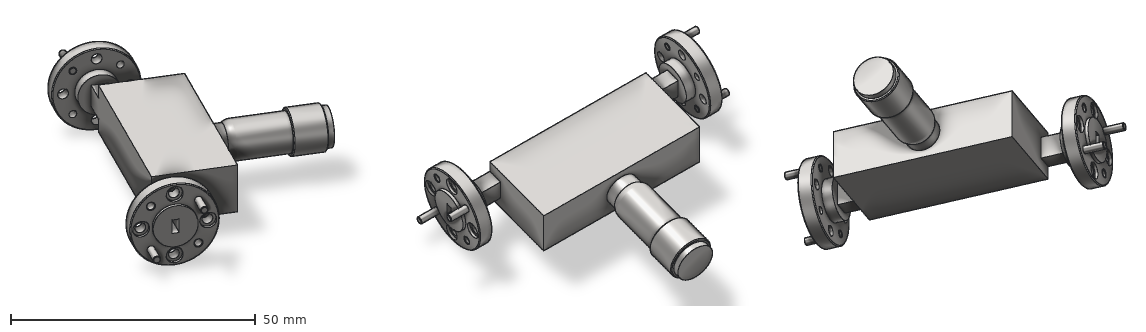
import cadquery as cq
import math


overall_depth = 50.95

block_length = 39.9
block_height = 11.0
block_back_y = 16.45

guide_width = 3.6
guide_height = 5.0
aperture_width = 1.5
aperture_height = 3.1

flange_diameter = 19.0
flange_chamfer = 0.2
flange_inner_x = 27.8
flange_outer_x = 31.1
hub_diameter = 9.25
hub_inner_x = 25.45
boss_diameter = 9.55
boss_outer_x = 31.8

hole_circle_radius = 7.1
screw_hole_diameter = 2.3
counterbore_diameter = 3.55
counterbore_depth = 0.65
pin_diameter = 1.65
pin_hole_chamfer = 0.15
screw_hole_count = 4
screw_spacing_angle = 360 / screw_hole_count

first_dowel_pair = (45, 225)
second_dowel_pair = (135, 315)

pin_tip_x = 35.6
pin_chamfer = 0.15

neck_diameter = 7.6
barrel_diameter = 8.9
neck_end_y = 19.1
shoulder_end_y = 20.8
collar_diameter = 10.2
collar_start_y = 32.6
collar_end_y = 40.05
collar_chamfer = 0.2
micrometer_end_y = overall_depth - flange_diameter / 2


def x_cylinder(diameter, start_x, end_x, y=0, z=0):
    """Cylinder parallel to X, running from start_x to end_x."""
    plane = cq.Workplane("YZ", origin=(start_x, y, z))
    return plane.circle(diameter / 2).extrude(end_x - start_x)


def place_on_circle(angle):
    """Y and Z on the hole circle, with the angle measured from +Y toward +Z."""
    turn = math.radians(angle)
    return hole_circle_radius * math.cos(turn), hole_circle_radius * math.sin(turn)


def make_block():
    """Block whose front face is flush with the front of the waveguide."""
    block_front_y = -guide_width / 2
    depth = block_back_y - block_front_y
    return cq.Workplane("XY").box(block_length, depth, block_height).translate(
        (0, block_front_y + depth / 2, 0)
    )


def make_guide():
    """Rectangular waveguide passing through the block from hub to hub."""
    return cq.Workplane("XY").box(2 * hub_inner_x, guide_width, guide_height)


def make_open_dowel_hole(angle):
    """Cutter for an empty dowel hole through the flange, chamfered at the outer face."""
    y, z = place_on_circle(angle)
    hole = x_cylinder(pin_diameter, flange_inner_x, flange_outer_x, y, z)
    lead_in = (
        cq.Workplane("YZ", origin=(flange_outer_x, y, z))
        .circle(pin_diameter / 2 + pin_hole_chamfer)
        .extrude(-pin_hole_chamfer, taper=45)
    )
    return hole.union(lead_in)


def make_flange(pin_angles, open_hole_angles):
    """Flange on the +X side, with its hub, raised boss, holes and aperture."""
    disc = x_cylinder(flange_diameter, flange_inner_x, flange_outer_x)
    flange = disc.edges().chamfer(flange_chamfer)
    flange = flange.union(x_cylinder(hub_diameter, hub_inner_x, flange_inner_x))
    flange = flange.union(x_cylinder(boss_diameter, flange_outer_x, boss_outer_x))

    counterbore_floor_x = flange_outer_x - counterbore_depth
    for index in range(screw_hole_count):
        y, z = place_on_circle(index * screw_spacing_angle)
        flange = flange.cut(x_cylinder(screw_hole_diameter, flange_inner_x, flange_outer_x, y, z))
        flange = flange.cut(x_cylinder(counterbore_diameter, counterbore_floor_x, flange_outer_x, y, z))

    for angle in pin_angles:
        y, z = place_on_circle(angle)
        flange = flange.cut(x_cylinder(pin_diameter, flange_inner_x, flange_outer_x, y, z))
    for angle in open_hole_angles:
        flange = flange.cut(make_open_dowel_hole(angle))

    aperture_depth = boss_outer_x - hub_inner_x
    aperture = cq.Workplane("XY").box(aperture_depth, aperture_width, aperture_height)
    return flange.cut(aperture.translate((hub_inner_x + aperture_depth / 2, 0, 0)))


def make_micrometer():
    """Turned micrometer head standing on the back of the block."""
    neck_radius = neck_diameter / 2
    barrel_radius = barrel_diameter / 2
    collar_radius = collar_diameter / 2
    profile = (
        cq.Workplane("XY")
        .moveTo(0, micrometer_end_y)
        .lineTo(barrel_radius, micrometer_end_y)
        .lineTo(barrel_radius, collar_end_y)
        .lineTo(collar_radius - collar_chamfer, collar_end_y)
        .lineTo(collar_radius, collar_end_y - collar_chamfer)
        .lineTo(collar_radius, collar_start_y + collar_chamfer)
        .lineTo(collar_radius - collar_chamfer, collar_start_y)
        .lineTo(barrel_radius, collar_start_y)
        .lineTo(barrel_radius, shoulder_end_y)
        .tangentArcPoint((neck_radius, neck_end_y), relative=False)
        .lineTo(neck_radius, block_back_y)
        .lineTo(0, block_back_y)
        .close()
    )
    return profile.revolve(360, (0, 0, 0), (0, 1, 0))


def make_attenuator():
    """Block, waveguide, both flanges and micrometer as one body."""
    flange = make_flange(first_dowel_pair, second_dowel_pair)
    opposite_flange = make_flange(second_dowel_pair, first_dowel_pair).mirror("YZ")
    body = make_block().union(make_guide()).union(make_micrometer())
    return body.union(flange).union(opposite_flange)


def make_pin(side, angle):
    """Dowel pin filling its flange hole; side is 1 for +X and -1 for -X."""
    y, z = place_on_circle(angle)
    pin = x_cylinder(pin_diameter, flange_inner_x, pin_tip_x, y, z).edges().chamfer(pin_chamfer)
    return pin if side > 0 else pin.mirror("YZ")


attenuator = make_attenuator()

pins = []
for side, pin_angles in ((1, first_dowel_pair), (-1, second_dowel_pair)):
    for angle in pin_angles:
        pins.append(make_pin(side, angle))

result = cq.Compound.makeCompound([attenuator.val(), *[pin.val() for pin in pins]])